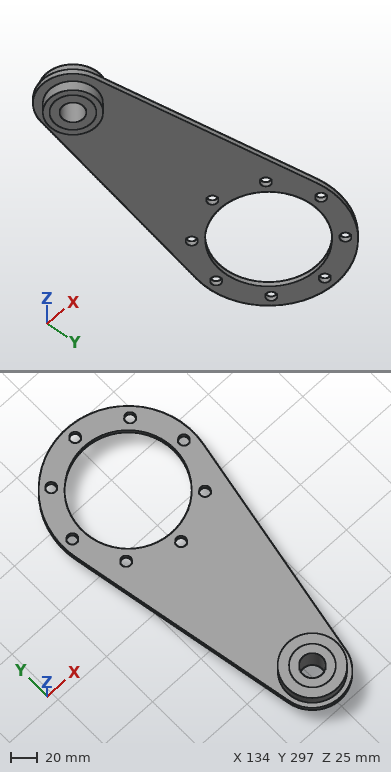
import cadquery as cq
import math

plate_thickness = 5.0
large_end_radius = 67.0
small_end_radius = 30.0
center_distance = 200.0

opening_diameter = 95.0
bolt_circle_diameter = 115.0
bolt_hole_diameter = 9.0
bolt_hole_count = 8

boss_height = 10.0
upper_boss_diameter = 52.0
lower_boss_diameter = 45.0
bushing_diameter = 35.0
bushing_bore_diameter = 20.0

small_end_y = -center_distance
bushing_bottom_z = -boss_height
bushing_length = plate_thickness + 2 * boss_height


def tangent_plate():
    """Plate blank whose straight sides are tangent to both round ends."""
    side_angle = math.asin((large_end_radius - small_end_radius) / center_distance)
    across = math.cos(side_angle)
    along = math.sin(side_angle)
    large_x = large_end_radius * across
    large_y = -large_end_radius * along
    small_x = small_end_radius * across
    small_y = small_end_y - small_end_radius * along
    return (
        cq.Workplane("XY")
        .moveTo(large_x, large_y)
        .threePointArc((0, large_end_radius), (-large_x, large_y))
        .lineTo(-small_x, small_y)
        .threePointArc((0, small_end_y - small_end_radius), (small_x, small_y))
        .close()
        .extrude(plate_thickness)
    )


def small_end_cylinder(diameter, bottom_z, height):
    """Upright cylinder on the axis of the small end."""
    return (
        cq.Workplane("XY", origin=(0, small_end_y, bottom_z))
        .circle(diameter / 2)
        .extrude(height)
    )


def make_arm():
    """Plate with its two bosses, opening, bolt holes and bushing seat."""
    upper_boss = small_end_cylinder(upper_boss_diameter, plate_thickness, boss_height)
    lower_boss = small_end_cylinder(lower_boss_diameter, -boss_height, boss_height)
    opening = cq.Workplane("XY").circle(opening_diameter / 2).extrude(plate_thickness)
    bolt_holes = (
        cq.Workplane("XY")
        .polarArray(bolt_circle_diameter / 2, 0, 360, bolt_hole_count)
        .circle(bolt_hole_diameter / 2)
        .extrude(plate_thickness)
    )
    bushing_seat = small_end_cylinder(bushing_diameter, bushing_bottom_z, bushing_length)
    blank = tangent_plate().union(upper_boss).union(lower_boss)
    return blank.cut(opening).cut(bolt_holes).cut(bushing_seat)


def make_bushing():
    """Plain sleeve, flush with the outer faces of both bosses."""
    sleeve = small_end_cylinder(bushing_diameter, bushing_bottom_z, bushing_length)
    bore = small_end_cylinder(bushing_bore_diameter, bushing_bottom_z, bushing_length)
    return sleeve.cut(bore)


arm = make_arm()
bushing = make_bushing()

result = cq.Compound.makeCompound([arm.val(), bushing.val()])